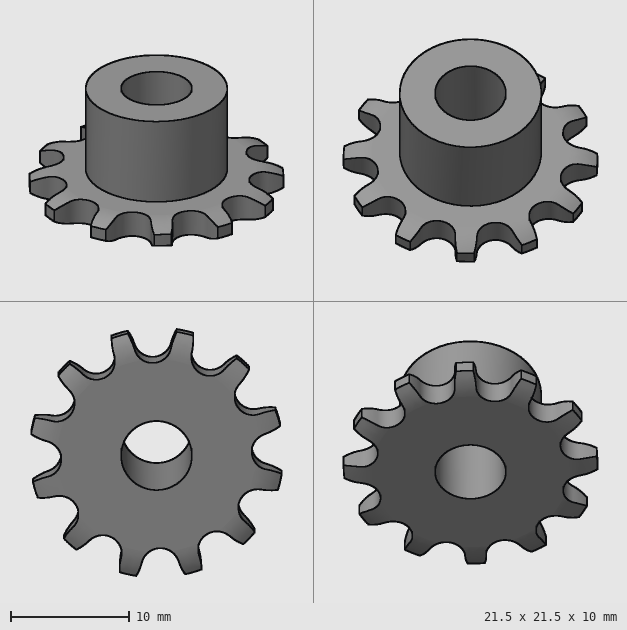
import cadquery as cq
import math

outer_diameter = 21.5
total_height = 10.0
disc_thickness = 2.3
hub_diameter = 12.0
bore_diameter = 6.0

tooth_count = 12
pitch_radius = 9.65
seat_radius = 1.6
seat_end_angle = 15.0
flank_radius = 5.38
flank_sweep = 18.0

flat_face_radius = 8.38
side_round_radius = 4.95

outer_radius = outer_diameter / 2


def tapered_disc():
    """Round disc whose two faces curve toward each other near the rim."""

    def side_drop(radius):
        run = radius - flat_face_radius
        return side_round_radius - math.sqrt(side_round_radius**2 - run**2)

    middle_radius = (flat_face_radius + outer_radius) / 2
    rim_drop = side_drop(outer_radius)
    middle_drop = side_drop(middle_radius)
    return (
        cq.Workplane("XZ")
        .lineTo(flat_face_radius, 0)
        .threePointArc((middle_radius, middle_drop), (outer_radius, rim_drop))
        .lineTo(outer_radius, disc_thickness - rim_drop)
        .threePointArc(
            (middle_radius, disc_thickness - middle_drop),
            (flat_face_radius, disc_thickness),
        )
        .lineTo(0, disc_thickness)
        .close()
        .revolve(360, (0, 0, 0), (0, 1, 0))
    )


def tooth_gap():
    """Cutter for one gap between teeth, centred on the +Y axis."""
    seat_end = math.radians(seat_end_angle)
    centre_distance = seat_radius + flank_radius
    flank_centre_x = centre_distance * math.cos(seat_end)
    flank_centre_y = pitch_radius - centre_distance * math.sin(seat_end)

    def flank_point(side, sweep):
        angle = seat_end + math.radians(sweep)
        x = flank_centre_x - flank_radius * math.cos(angle)
        y = flank_centre_y + flank_radius * math.sin(angle)
        return (side * x, y)

    return (
        cq.Workplane("XY")
        .moveTo(*flank_point(-1, flank_sweep))
        .threePointArc(flank_point(-1, flank_sweep / 2), flank_point(-1, 0))
        .threePointArc((0, pitch_radius - seat_radius), flank_point(1, 0))
        .threePointArc(flank_point(1, flank_sweep / 2), flank_point(1, flank_sweep))
        .close()
        .extrude(disc_thickness)
    )


sprocket = tapered_disc()
gap = tooth_gap()
tooth_pitch_angle = 360 / tooth_count
for index in range(tooth_count):
    gap_angle = index * tooth_pitch_angle + tooth_pitch_angle / 2
    sprocket = sprocket.cut(gap.rotate((0, 0, 0), (0, 0, 1), gap_angle))

hub = cq.Workplane("XY").circle(hub_diameter / 2).extrude(total_height)
bore = cq.Workplane("XY").circle(bore_diameter / 2).extrude(total_height)

result = sprocket.union(hub).cut(bore)